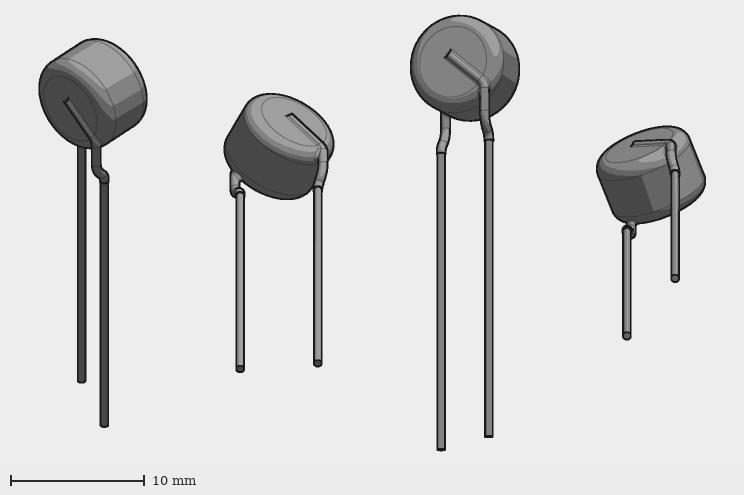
import cadquery as cq
import math

disc_diameter = 7.4
rim_width = 3.08
rim_fillet = 1.0
disc_thickness = rim_width + 2 * rim_fillet

overall_thickness = 5.5
overall_height = 32.4
coated_diameter = 0.7
bare_diameter = 0.6
lead_x = 2.5
bare_y = 1.5
coated_y = (overall_thickness - coated_diameter) / 2
lead_bottom_z = disc_diameter / 2 - overall_height

slant_start_x = -0.3
slant_corner_z = -1.8
slant_angle = 40.0
slant_bend_radius = 0.9

joint_fillet = 0.2

s_bend_top_z = -3.95
s_bend_bottom_z = -5.95
upper_bend_share = 0.65
coating_end_z = -6.05


def make_disc():
    """Round disc with both rim edges rounded over."""
    return (
        cq.Workplane("XZ")
        .workplane(offset=-disc_thickness / 2)
        .circle(disc_diameter / 2)
        .extrude(disc_thickness)
        .edges()
        .fillet(rim_fillet)
    )


def make_front_lead():
    """Lead on the -Y face, from the disc centre to the lower tip."""
    slant = math.radians(slant_angle)
    direction = cq.Vector(math.cos(slant), 0, -math.sin(slant))
    down = cq.Vector(0, 0, -1)
    corner = cq.Vector(lead_x, -coated_y, slant_corner_z)
    tangent_length = slant_bend_radius * math.tan((math.pi / 2 - slant) / 2)

    slant_start = corner - direction * ((lead_x - slant_start_x) / math.cos(slant))
    bend_start = corner - direction * tangent_length
    bend_end = corner + down * tangent_length

    s_top = cq.Vector(lead_x, -coated_y, s_bend_top_z)
    s_bottom = cq.Vector(lead_x, -bare_y, s_bend_bottom_z)
    s_middle = s_top + (s_bottom - s_top) * upper_bend_share
    s_angle = 2 * math.atan2(coated_y - bare_y, s_bend_top_z - s_bend_bottom_z)
    s_direction = cq.Vector(0, math.sin(s_angle), -math.cos(s_angle))
    coating_end = cq.Vector(lead_x, -bare_y, coating_end_z)

    edges = [
        cq.Edge.makeLine(slant_start, bend_start),
        cq.Edge.makeTangentArc(bend_start, direction, bend_end),
        cq.Edge.makeLine(bend_end, s_top),
        cq.Edge.makeTangentArc(s_top, down, s_middle),
        cq.Edge.makeTangentArc(s_middle, s_direction, s_bottom),
        cq.Edge.makeLine(s_bottom, coating_end),
    ]
    path = cq.Wire.assembleEdges(edges)
    start_plane = cq.Plane(origin=slant_start, normal=direction)
    coated = cq.Workplane(start_plane).circle(coated_diameter / 2).sweep(path)

    bare = (
        cq.Workplane("XY", origin=coating_end.toTuple())
        .circle(bare_diameter / 2)
        .extrude(lead_bottom_z - coating_end_z)
    )
    return coated.union(bare)


def blend_joints(body):
    """Fillet the seams between leads and disc.

    Seams on the rounded rim are splines; seams on the flat faces are straight, slanted lines.
    """
    rim_seams = "%BSPLINE"
    flat_seams = "(%LINE and #Y and (not |Z))"
    return body.edges(f"{rim_seams} or {flat_seams}").fillet(joint_fillet)


front_lead = make_front_lead()
rear_lead = front_lead.rotate((0, 0, 0), (0, 0, 1), 180)
result = blend_joints(make_disc().union(front_lead).union(rear_lead))